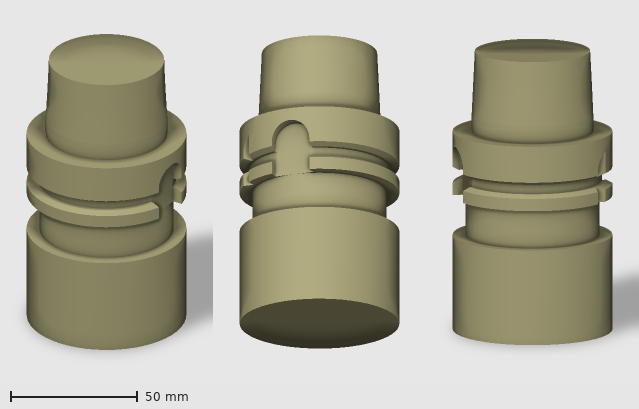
import cadquery as cq

body_radius = 31.5
neck_radius = 26.4
groove_radius = 27.4
spigot_radius = 24.0
spigot_top_radius = 22.7

body_top = 38.1
flange_bottom = 53.9
flange_top = 79.7
taper_start = 86.4
total_height = 112.0

groove_bottom = 60.1
groove_top = 64.0
bevel_height = 1.3
bevel_depth = 2.5
groove_lip_radius = body_radius - bevel_depth

slot_radius = 8.0
slot_arc_height = 66.9
slot_floor = neck_radius
notch_floor = 20.0
notch_offset = notch_floor + slot_radius


def turned_body():
    profile = [
        (0, 0),
        (body_radius, 0),
        (body_radius, body_top),
        (neck_radius, body_top),
        (neck_radius, flange_bottom),
        (body_radius, flange_bottom),
        (body_radius, groove_bottom - bevel_height),
        (groove_lip_radius, groove_bottom),
        (groove_radius, groove_bottom),
        (groove_radius, groove_top),
        (groove_lip_radius, groove_top),
        (body_radius, groove_top + bevel_height),
        (body_radius, flange_top),
        (spigot_radius, flange_top),
        (spigot_radius, taper_start),
        (spigot_top_radius, total_height),
        (0, total_height),
    ]
    return cq.Workplane("XZ").polyline(profile).close().revolve(360, (0, 0), (0, 1))


def slot_cutter(floor, center):
    """Round-topped slot cutting outward along +X from the plane x = floor."""
    return (
        cq.Workplane("YZ", origin=(floor, center, 0))
        .moveTo(-slot_radius, flange_bottom)
        .lineTo(slot_radius, flange_bottom)
        .lineTo(slot_radius, slot_arc_height)
        .threePointArc((0, slot_arc_height + slot_radius), (-slot_radius, slot_arc_height))
        .close()
        .extrude(body_radius)
    )


def turned_about_z(shape, angle):
    return shape.rotate((0, 0, 0), (0, 0, 1), angle)


result = turned_body()

drive_slot = slot_cutter(slot_floor, 0)
for angle in (0, 180):
    result = result.cut(turned_about_z(drive_slot, angle))

notch = turned_about_z(slot_cutter(notch_floor, notch_offset), 90)
result = result.cut(notch)